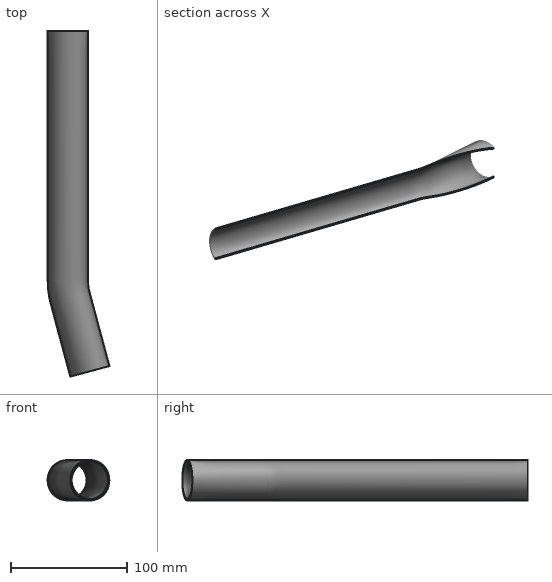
import cadquery as cq
import math

outer_diameter = 35.0
inner_diameter = 32.0
bend_angle = 15.0
bend_radius = 1.5 * outer_diameter
long_leg = 222.0
short_leg = 73.0

angle = math.radians(bend_angle)
tangent_length = bend_radius * math.tan(angle / 2)


def point_on_short_leg(distance):
    """Centreline point at a distance from the corner along the short leg."""
    return (distance * math.sin(angle), -distance * math.cos(angle))


long_end = (0.0, long_leg)
bend_start = (0.0, tangent_length)
bend_end = point_on_short_leg(tangent_length)
short_end = point_on_short_leg(short_leg)
bend_middle = (
    bend_radius * (1 - math.cos(angle / 2)),
    tangent_length - bend_radius * math.sin(angle / 2),
)

centreline = (
    cq.Workplane("XY")
    .moveTo(*long_end)
    .lineTo(*bend_start)
    .threePointArc(bend_middle, bend_end)
    .lineTo(*short_end)
)

result = (
    cq.Workplane("XZ", origin=(*long_end, 0.0))
    .circle(outer_diameter / 2)
    .circle(inner_diameter / 2)
    .sweep(centreline)
)